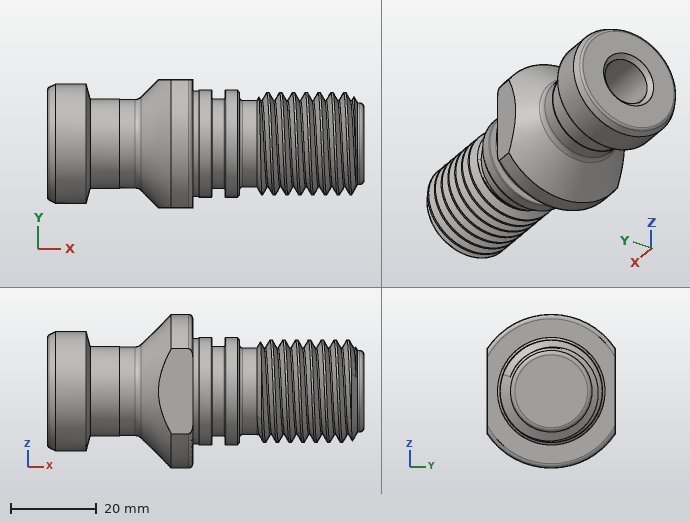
import cadquery as cq
import math

LENGTH = 74.0
HEAD_CHAMFER_LENGTH = 1.9
HEAD_END = 9.0
NECK_STEP = 16.9
CONE_END = 28.9
FLANGE_END = 34.0
LAND_START = 35.4
GROOVE_START = 38.4
GROOVE_END = 41.5
LAND_END = 44.9
THREAD_START = 49.0
THREAD_END = 72.15

HEAD_RADIUS = 14.0
NECK_RADIUS = 10.5
NECK_RELIEF_RADIUS = 10.35
FLANGE_RADIUS = 18.0
PILOT_RADIUS = 12.35
LAND_RADIUS = 12.6
GROOVE_RADIUS = 10.5
THREAD_MINOR_RADIUS = 10.15
THREAD_MAJOR_RADIUS = 12.0
TIP_RADIUS = 9.55

HEAD_CHAMFER_ANGLE = 27
HEAD_BACK_ANGLE = 15
FLANGE_CONE_ANGLE = 45
THREAD_FLANK_ANGLE = 30

ACROSS_FLATS = 30.0

HEAD_FACE_FILLET = 0.75
CONE_FILLET = 2.0
FLANGE_FILLET = 1.0
SMALL_FILLET = 0.2
LAND_CHAMFER_LENGTH = 0.5
LAND_CHAMFER_DEPTH = 0.7
RELIEF_FILLET = 0.7
TIP_FILLET = 1.0

RIDGE_LENGTH = 30.0
RIDGE_TURNS = 10
PITCH = RIDGE_LENGTH / RIDGE_TURNS
CREST_WIDTH = PITCH / 6
RIDGE_EMBED = 0.15
CREST_CLEARANCE = 0.15
FIRST_CREST = 44.8

BORE_RADIUS = 5.8
BORE_DEPTH = FLANGE_END
COUNTERSINK_RADIUS = 6.9
COUNTERSINK_DEPTH = 1.1
DRILL_POINT_ANGLE = 118

FLANK_SLOPE = math.tan(math.radians(THREAD_FLANK_ANGLE))
HEAD_FACE_RADIUS = HEAD_RADIUS - HEAD_CHAMFER_LENGTH * math.tan(math.radians(HEAD_CHAMFER_ANGLE))
HEAD_BACK_END = HEAD_END + (HEAD_RADIUS - NECK_RADIUS) * math.tan(math.radians(HEAD_BACK_ANGLE))
CONE_START = CONE_END - (FLANGE_RADIUS - NECK_RELIEF_RADIUS) / math.tan(math.radians(FLANGE_CONE_ANGLE))
TIP_START = THREAD_END + (THREAD_MINOR_RADIUS - TIP_RADIUS) * FLANK_SLOPE


def revolve_about_x(points):
    """Turn a closed (station, radius) outline around the X axis."""
    return cq.Workplane("XY").polyline(points).close().revolve(360, (0, 0), (1, 0))


def fillet_ring(body, station, radius, size):
    """Round the circular edge found at the given station and radius."""
    def is_ring(edge):
        return abs(edge.Center().x - station) < 0.01 and abs(edge.radius() - radius) < 0.01

    return body.edges("%CIRCLE").filter(is_ring).fillet(size)


def make_body():
    """Turned blank from head to tip, with the threaded length left at the tip radius."""
    body = revolve_about_x([
        (0, 0),
        (0, HEAD_FACE_RADIUS),
        (HEAD_CHAMFER_LENGTH, HEAD_RADIUS),
        (HEAD_END, HEAD_RADIUS),
        (HEAD_BACK_END, NECK_RADIUS),
        (NECK_STEP, NECK_RADIUS),
        (NECK_STEP, NECK_RELIEF_RADIUS),
        (CONE_START, NECK_RELIEF_RADIUS),
        (CONE_END, FLANGE_RADIUS),
        (FLANGE_END, FLANGE_RADIUS),
        (FLANGE_END, PILOT_RADIUS),
        (LAND_START, PILOT_RADIUS),
        (LAND_START, LAND_RADIUS),
        (GROOVE_START, LAND_RADIUS),
        (GROOVE_START, GROOVE_RADIUS),
        (GROOVE_END, GROOVE_RADIUS),
        (GROOVE_END, LAND_RADIUS),
        (LAND_END - LAND_CHAMFER_LENGTH, LAND_RADIUS),
        (LAND_END, LAND_RADIUS - LAND_CHAMFER_DEPTH),
        (LAND_END, THREAD_MINOR_RADIUS),
        (THREAD_START, THREAD_MINOR_RADIUS),
        (THREAD_START, TIP_RADIUS),
        (LENGTH, TIP_RADIUS),
        (LENGTH, 0),
    ])
    rounded_rings = [
        (0, HEAD_FACE_RADIUS, HEAD_FACE_FILLET),
        (HEAD_END, HEAD_RADIUS, SMALL_FILLET),
        (HEAD_BACK_END, NECK_RADIUS, SMALL_FILLET),
        (CONE_START, NECK_RELIEF_RADIUS, CONE_FILLET),
        (FLANGE_END, FLANGE_RADIUS, FLANGE_FILLET),
        (LAND_START, LAND_RADIUS, SMALL_FILLET),
        (GROOVE_START, LAND_RADIUS, SMALL_FILLET),
        (GROOVE_START, GROOVE_RADIUS, SMALL_FILLET),
        (GROOVE_END, GROOVE_RADIUS, SMALL_FILLET),
        (GROOVE_END, LAND_RADIUS, SMALL_FILLET),
        (LAND_END, THREAD_MINOR_RADIUS, RELIEF_FILLET),
        (LENGTH, TIP_RADIUS, TIP_FILLET),
    ]
    for station, radius, size in rounded_rings:
        body = fillet_ring(body, station, radius, size)
    return body


def make_flats_envelope():
    """Slab that trims the flange to its two wrench flats on the +Y and -Y sides."""
    return cq.Workplane("XY").box(
        LENGTH, ACROSS_FLATS, 2 * FLANGE_RADIUS, centered=(False, True, True)
    )


def make_thread():
    """Threaded length: a core and a right-hand helical ridge, trimmed by a cone at each end."""
    root_radius = THREAD_MINOR_RADIUS - RIDGE_EMBED
    half_crest = CREST_WIDTH / 2
    half_root = half_crest + (THREAD_MAJOR_RADIUS - root_radius) * FLANK_SLOPE
    helix = cq.Wire.makeHelix(PITCH, RIDGE_LENGTH, root_radius)
    ridge = (
        cq.Workplane("XZ")
        .polyline([
            (root_radius, -half_root),
            (THREAD_MAJOR_RADIUS, -half_crest),
            (THREAD_MAJOR_RADIUS, half_crest),
            (root_radius, half_root),
        ])
        .close()
        .sweep(cq.Workplane(helix), isFrenet=True)
        .rotate((0, 0, 0), (0, 1, 0), 90)
        .translate((FIRST_CREST, 0, 0))
    )
    core_start = FIRST_CREST - PITCH
    core_length = RIDGE_LENGTH + 2 * PITCH
    core = cq.Workplane("YZ", origin=(core_start, 0, 0)).circle(THREAD_MINOR_RADIUS).extrude(core_length)
    crest_run = (THREAD_MAJOR_RADIUS - THREAD_MINOR_RADIUS + CREST_CLEARANCE) * FLANK_SLOPE
    envelope_radius = THREAD_MAJOR_RADIUS + CREST_CLEARANCE
    envelope = revolve_about_x([
        (THREAD_START, 0),
        (THREAD_START, THREAD_MINOR_RADIUS),
        (THREAD_START + crest_run, envelope_radius),
        (THREAD_END - crest_run, envelope_radius),
        (TIP_START, TIP_RADIUS),
        (TIP_START, 0),
    ])
    return core.union(ridge, clean=False).intersect(envelope, clean=False)


def make_bore():
    """Countersunk blind hole ending in a drill point."""
    point_length = BORE_RADIUS / math.tan(math.radians(DRILL_POINT_ANGLE / 2))
    return revolve_about_x([
        (0, 0),
        (0, COUNTERSINK_RADIUS),
        (COUNTERSINK_DEPTH, BORE_RADIUS),
        (BORE_DEPTH, BORE_RADIUS),
        (BORE_DEPTH + point_length, 0),
    ])


blank = make_body().intersect(make_flats_envelope()).cut(make_bore())
result = blank.union(make_thread(), clean=False)